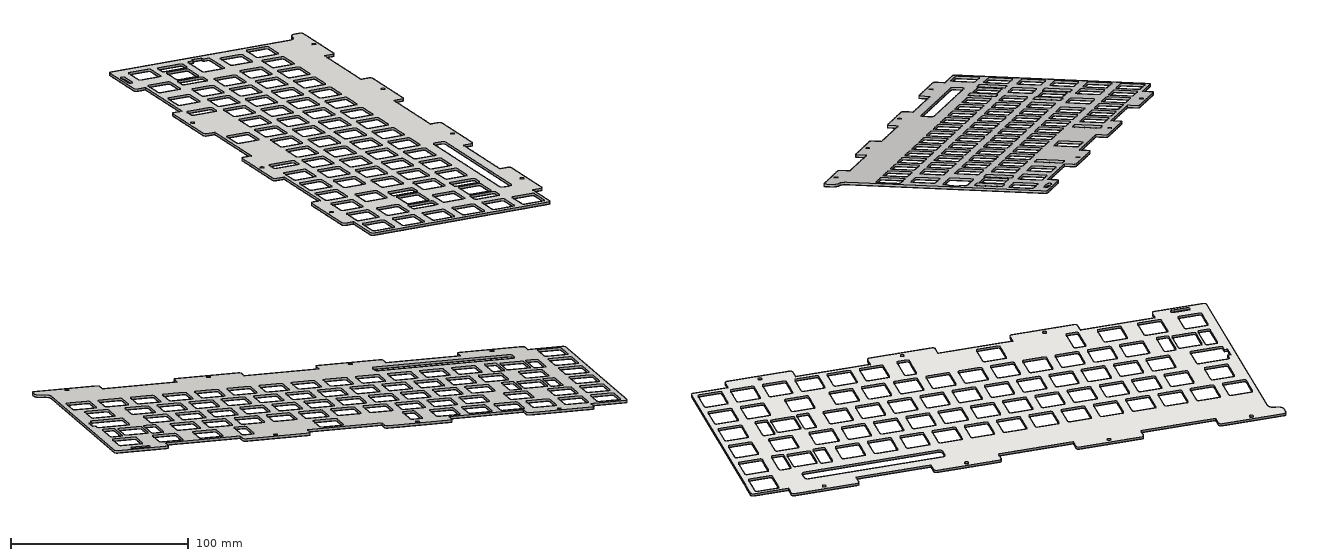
import cadquery as cq

length = 314.0
depth = 127.0
thickness = 1.5
left_edge = -149.0
right_edge = length / 2
top_edge = depth / 2
tab_height = 6.5
body_depth = depth - 2 * tab_height
outer_radius = 1.5

tab_count = 4
tab_width = 40.0
first_tab_x = -length / 2 + tab_width / 2
tab_span = 252.0
tab_pitch = tab_span / (tab_count - 1)
tab_positions = [first_tab_x + i * tab_pitch for i in range(tab_count)]
hole_diameter = 2.2
hole_y = 60.5

ear_height = 8.2
ear_fillet = 3.8

long_slot_length = 83.0
long_slot_width = 7.5
long_slot_radius = 2.0
long_slot_center = (81.5, 46.8)
short_slot_length = 11.3
short_slot_width = 2.5
short_slot_x = -133.0

last_column = 15
key_span = 285.7
key_unit = key_span / last_column
key_gap = 5.0
key_size = key_unit - key_gap
key_radius = 1.07
right_margin = 3.0
bottom_margin = 2.65
first_column_x = right_edge - right_margin - key_size / 2 - key_span
bottom_row_y = -body_depth / 2 + bottom_margin + key_size / 2

stabilizer_width = 7.2
stabilizer_height = 16.0
stabilizer_offset = 12.2
space_stabilizer_offset = 50.0

caps_columns = (0.1, 0.375)
caps_row = 2
caps_notch_depth = 2.0
caps_notch_height = 6.3


def key_run(first, count):
    """Columns of adjacent keys one unit apart."""
    return [first + i for i in range(count)]


key_rows = [
    [0.125, 1.375, 2.625, 6.375] + key_run(10, 5),
    [0.625] + key_run(2.25, 10) + [12.625, 14],
    key_run(1.75, 11) + [13.375],
    [0.25] + key_run(1.5, 12) + [13.75],
    key_run(0, 13) + [13.5],
    [],
]

stabilized_keys = [
    (6.375, 0, space_stabilizer_offset),
    (0.625, 1, stabilizer_offset),
    (13.375, 2, stabilizer_offset),
    (13.5, 4, stabilizer_offset),
]


def column_x(column):
    return first_column_x + column * key_unit


def row_y(row):
    return bottom_row_y + row * key_unit


def block(x_min, x_max, y_min, y_max):
    """Plate-thick rectangle between the given limits."""
    return cq.Workplane("XY").box(
        x_max - x_min, y_max - y_min, thickness, centered=False
    ).translate((x_min, y_min, 0))


def rounded_cutters(points, width, height, radius):
    """Plate-thick rectangles with rounded corners at the given centers."""
    cutters = cq.Workplane("XY").pushPoints(points).rect(width, height).extrude(thickness)
    return cutters.edges("|Z").fillet(radius)


def make_plate():
    body = block(left_edge, right_edge, -body_depth / 2, body_depth / 2)
    body = body.edges("|Z and >X").fillet(outer_radius)

    for x in tab_positions:
        tab_left = x - tab_width / 2
        tab_right = x + tab_width / 2
        top_tab = block(tab_left, tab_right, top_edge - ear_height, top_edge)
        bottom_tab = block(max(tab_left, left_edge), tab_right, -top_edge, -body_depth / 2)
        body = body.union(top_tab.edges("|Z and >Y").fillet(outer_radius))
        body = body.union(bottom_tab.edges("|Z and <Y").fillet(outer_radius))

    ear_bottom = top_edge - ear_height
    ear_corner = cq.selectors.NearestToPointSelector((-length / 2, ear_bottom, thickness / 2))
    ear_hollow = cq.selectors.NearestToPointSelector((left_edge, ear_bottom, thickness / 2))
    body = body.edges("|Z").edges(ear_corner).fillet(ear_fillet)
    return body.edges("|Z").edges(ear_hollow).fillet(ear_fillet)


def key_cutters():
    points = [(column_x(c), row_y(r)) for r, columns in enumerate(key_rows) for c in columns]
    points += [(column_x(last_column), row_y(r)) for r in range(len(key_rows))]
    return rounded_cutters(points, key_size, key_size, key_radius)


def stabilizer_cutters():
    points = []
    for column, row, offset in stabilized_keys:
        for side in (-1, 1):
            points.append((column_x(column) + side * offset, row_y(row)))
    return rounded_cutters(points, stabilizer_width, stabilizer_height, key_radius)


def caps_cutter():
    left = column_x(caps_columns[0]) - key_size / 2
    right = column_x(caps_columns[1]) + key_size / 2
    y = row_y(caps_row)
    opening = rounded_cutters([((left + right) / 2, y)], right - left, key_size, key_radius)
    notch = block(left - caps_notch_depth, left, y - caps_notch_height / 2, y + caps_notch_height / 2)
    return opening.union(notch)


def screw_hole_cutters():
    points = [(x, hole_y) for x in tab_positions]
    points += [(x, -hole_y) for x in tab_positions[1:]]
    return cq.Workplane("XY").pushPoints(points).circle(hole_diameter / 2).extrude(thickness)


def slot_cutters():
    long_slot = rounded_cutters([long_slot_center], long_slot_length, long_slot_width, long_slot_radius)
    short_slot = (
        cq.Workplane("XY")
        .center(short_slot_x, -hole_y)
        .slot2D(short_slot_length, short_slot_width)
        .extrude(thickness)
    )
    return long_slot.union(short_slot)


result = make_plate()
for cutter in (key_cutters(), stabilizer_cutters(), caps_cutter(), screw_hole_cutters(), slot_cutters()):
    result = result.cut(cutter)